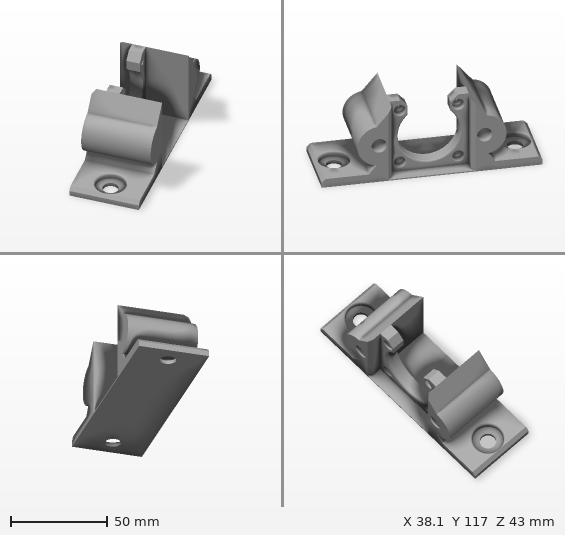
import cadquery as cq
import math

length_x = 38.1
base_width = 117.0
height = 43.0

base_thickness = 5.0
base_edge_chamfer = 2.0

channel_half_width = 21.0
floor_thickness = 0.7
channel_entry_chamfer = 2.0

axis_z = height / 2
plate_offset = 7.4
plate_thickness = 7.4
screw_pitch = 31.0
screw_diameter = 3.2
screw_head_diameter = 6.0
screw_head_depth = 3.0
screw_head_fillet = 0.5
bore_diameter = 33.0
bore_fillet = 1.0
opening_half_width = 11.4
opening_chamfer = 4.0

lug_y = 28.0
lug_radius = 11.5
lug_bore_diameter = 8.1
lug_bore_depth = 30.0
web_y = 29.4
web_foot_y = 33.5

mount_y = 48.0
mount_diameter = 8.5
mount_head_diameter = 16.5
mount_head_depth = 3.0
mount_head_fillet = 1.0

half_width = base_width / 2
front_x = -length_x / 2
plate_front_x = front_x + plate_offset
web_rise = math.sqrt(lug_radius**2 - (web_y - lug_y) ** 2)
cut_margin = 1.0


def cylinder_x(x, y, z, diameter, depth):
    """Cylinder that starts at (x, y, z) and runs along +X."""
    return cq.Workplane(cq.Solid.makeCylinder(diameter / 2, depth, cq.Vector(x, y, z), cq.Vector(1, 0, 0)))


def round_rim_x(x, y, z, diameter, fillet):
    """Ring of material to remove so that a hole along +X gets a rounded rim at its mouth."""
    radius = diameter / 2
    diagonal = fillet * math.sqrt(0.5)
    return (
        cq.Workplane("XY")
        .moveTo(0, radius)
        .lineTo(0, radius + fillet)
        .threePointArc((fillet - diagonal, radius + fillet - diagonal), (fillet, radius))
        .close()
        .revolve(360, (0, 0, 0), (1, 0, 0))
        .translate((x, y, z))
    )


def make_half_body(side):
    """Base wing, side wall and lug on one side (+1 or -1 in Y), before the channel is cut."""
    lug_top = (side * web_y, axis_z + web_rise)
    lug_outer = (side * (lug_y + lug_radius), axis_z)
    lug_bottom = (side * web_y, axis_z - web_rise)
    return (
        cq.Workplane("YZ", origin=(front_x, 0, 0))
        .moveTo(0, 0)
        .lineTo(0, height)
        .lineTo(side * channel_half_width, height)
        .lineTo(*lug_top)
        .threePointArc(lug_outer, lug_bottom)
        .lineTo(side * web_foot_y, base_thickness)
        .lineTo(side * (half_width - base_edge_chamfer), base_thickness)
        .lineTo(side * half_width, base_thickness - base_edge_chamfer)
        .lineTo(side * half_width, 0)
        .close()
        .extrude(length_x)
    )


def make_channel():
    """Open-topped channel along X, with both wall edges chamfered at the front."""
    entry_half_width = channel_half_width + channel_entry_chamfer
    entry_end_x = front_x + channel_entry_chamfer
    back_x = front_x + length_x
    return (
        cq.Workplane("XY", origin=(0, 0, floor_thickness))
        .polyline(
            [
                (front_x, -entry_half_width),
                (entry_end_x, -channel_half_width),
                (back_x, -channel_half_width),
                (back_x, channel_half_width),
                (entry_end_x, channel_half_width),
                (front_x, entry_half_width),
            ]
        )
        .close()
        .extrude(height)
    )


def make_screw_hole(y, z):
    """Counterbored screw hole through the motor plate, entered from the front."""
    hole = cylinder_x(plate_front_x, y, z, screw_diameter, plate_thickness)
    head = cylinder_x(plate_front_x, y, z, screw_head_diameter, screw_head_depth)
    rim = round_rim_x(plate_front_x, y, z, screw_head_diameter, screw_head_fillet)
    return hole.union(head).union(rim)


def make_plate():
    """Motor plate across the channel, with a round bore that opens upward."""
    plate = cq.Workplane("XY").box(
        plate_thickness, 2 * channel_half_width, height, centered=(False, True, False)
    )
    plate = plate.translate((plate_front_x, 0, 0))
    opening_top = opening_half_width + opening_chamfer
    opening = (
        cq.Workplane("YZ", origin=(plate_front_x, 0, 0))
        .polyline(
            [
                (-opening_half_width, axis_z),
                (opening_half_width, axis_z),
                (opening_half_width, height - opening_chamfer),
                (opening_top, height),
                (-opening_top, height),
                (-opening_half_width, height - opening_chamfer),
            ]
        )
        .close()
        .extrude(plate_thickness)
    )
    plate = plate.cut(opening)
    plate = plate.cut(cylinder_x(plate_front_x, 0, axis_z, bore_diameter, plate_thickness))
    plate = plate.cut(round_rim_x(plate_front_x, 0, axis_z, bore_diameter, bore_fillet))
    for y_side in (-1, 1):
        for z_side in (-1, 1):
            y = y_side * screw_pitch / 2
            z = axis_z + z_side * screw_pitch / 2
            plate = plate.cut(make_screw_hole(y, z))
    return plate


def make_mount_hole(y):
    """Counterbored vertical hole through the base, with a rounded rim."""
    head_z = base_thickness - mount_head_depth
    hole = cq.Workplane("XY", origin=(0, y, -cut_margin)).circle(mount_diameter / 2)
    hole = hole.extrude(base_thickness + cut_margin)
    head = cq.Workplane("XY", origin=(0, y, head_z)).circle(mount_head_diameter / 2)
    head = head.extrude(mount_head_depth)
    rim = round_rim_x(0, 0, 0, mount_head_diameter, mount_head_fillet)
    rim = rim.rotate((0, 0, 0), (0, 1, 0), 90).translate((0, y, base_thickness))
    return hole.union(head).union(rim)


body = make_half_body(1).union(make_half_body(-1)).cut(make_channel())
for side in (-1, 1):
    body = body.cut(cylinder_x(front_x, side * lug_y, axis_z, lug_bore_diameter, lug_bore_depth))
    body = body.cut(make_mount_hole(side * mount_y))

result = body.union(make_plate())